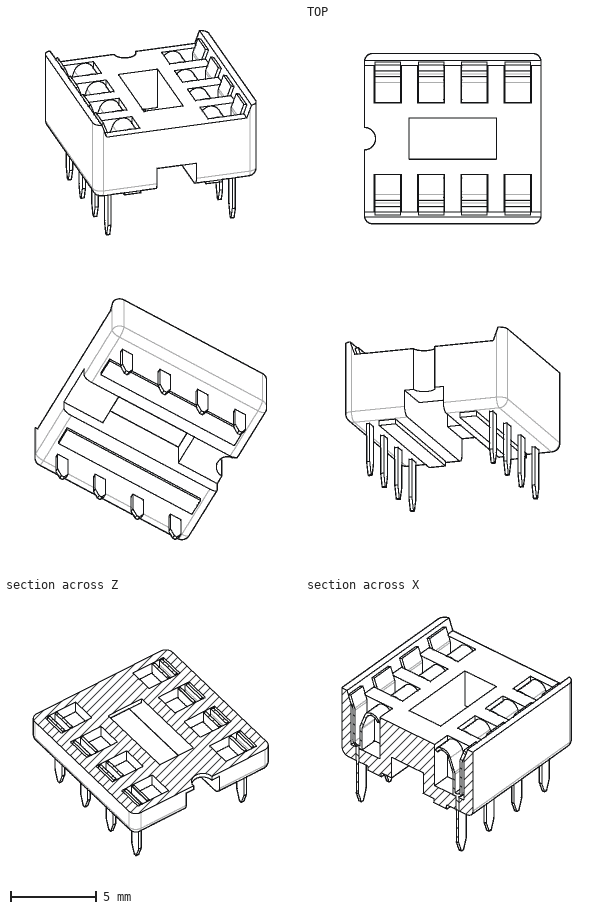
import cadquery as cq
import math

LENGTH = 10.36
WIDTH = 10.0
LIP_HEIGHT = 4.8
DECK_HEIGHT = 4.0
EDGE_RADIUS = 0.51
DECK_HALF_WIDTH = 4.29
LEAN = math.radians(20)

WINDOW_LENGTH = 5.1
WINDOW_WIDTH = 2.4
CHANNEL_HEIGHT = 1.49
NOTCH_RADIUS = 0.65

STANDOFF_LENGTH = 9.0
STANDOFF_WIDTH = 1.02
STANDOFF_HEIGHT = 0.29
STANDOFF_Y = 2.5

PITCH = 2.54
CONTACTS_PER_ROW = 4
POCKET_WIDTH = 1.6
POCKET_INNER_Y = 2.09
POCKET_FLOOR = 1.0

SHEET = 0.2
CONTACT_WIDTH = 1.5
TAB_TIP_Z = 4.57
BEND_RADIUS = 0.3
TAB_BEND_Z = 3.64
FOLD_RADIUS = 0.29
ARCH_OUTER_RADIUS = 0.62
ARCH_Y = 2.69
SPRING_Y = 3.53
LEG_Y = 3.81
LEG_WIDTH = 0.7
LEG_LENGTH = 3.06
TIP_LENGTH = 0.75
TIP_WIDTH = 0.19

BASE_Z = POCKET_FLOOR + SHEET / 2
SIN_LEAN = math.sin(LEAN)
COS_LEAN = math.cos(LEAN)
TAN_LEAN = math.tan(LEAN)
CONTACT_XS = [(i - (CONTACTS_PER_ROW - 1) / 2) * PITCH for i in range(CONTACTS_PER_ROW)]


def block(x_size, y_size, z_low, z_high, x=0.0, y=0.0):
    """Box centred on (x, y) between two heights."""
    return (
        cq.Workplane("XY", origin=(x, y, z_low))
        .box(x_size, y_size, z_high - z_low, centered=(True, True, False))
    )


def rounded_body():
    return (
        block(LENGTH, WIDTH, 0, LIP_HEIGHT)
        .edges("|Z or <Z")
        .fillet(EDGE_RADIUS)
    )


def deck_recess():
    """Flared space above the deck, between the two lips."""
    top_half_width = DECK_HALF_WIDTH + (LIP_HEIGHT - DECK_HEIGHT) * TAN_LEAN
    return (
        cq.Workplane("YZ")
        .polyline([
            (-DECK_HALF_WIDTH, DECK_HEIGHT),
            (DECK_HALF_WIDTH, DECK_HEIGHT),
            (top_half_width, LIP_HEIGHT),
            (-top_half_width, LIP_HEIGHT),
        ])
        .close()
        .extrude(LENGTH / 2, both=True)
    )


def contact_cavity(x, side):
    """Pocket open at the deck, with a slot in its floor for the leg."""
    pocket_length = DECK_HALF_WIDTH - POCKET_INNER_Y
    pocket_y = side * (DECK_HALF_WIDTH + POCKET_INNER_Y) / 2
    pocket = block(POCKET_WIDTH, pocket_length, POCKET_FLOOR, DECK_HEIGHT, x, pocket_y)
    leg_slot = block(LEG_WIDTH, SHEET, 0, POCKET_FLOOR, x, side * LEG_Y)
    return pocket.union(leg_slot)


def make_housing():
    housing = rounded_body().cut(deck_recess())
    housing = housing.cut(block(WINDOW_LENGTH, WINDOW_WIDTH, 0, DECK_HEIGHT))
    housing = housing.cut(block(LENGTH, WINDOW_WIDTH, 0, CHANNEL_HEIGHT))
    notch = cq.Workplane("XY").center(-LENGTH / 2, 0).circle(NOTCH_RADIUS).extrude(DECK_HEIGHT)
    housing = housing.cut(notch)
    for side in (-1, 1):
        standoff = block(STANDOFF_LENGTH, STANDOFF_WIDTH, -STANDOFF_HEIGHT, 0, y=side * STANDOFF_Y)
        housing = housing.union(standoff)
        for x in CONTACT_XS:
            housing = housing.cut(contact_cavity(x, side))
    return housing


def sheet_strip(path, start, normal):
    """Sheet of the contact's width that follows a path in the YZ plane."""
    section = cq.Plane(origin=(0, *start), xDir=(1, 0, 0), normal=(0, *normal))
    return cq.Workplane(section).rect(CONTACT_WIDTH, SHEET).sweep(path)


def tab_strip():
    """Tab lying on the lip, the upright wall under it and the base of the contact."""
    bend_top_z = TAB_BEND_Z + BEND_RADIUS * SIN_LEAN
    lip_offset = SHEET / 2 / COS_LEAN
    bend_top_y = DECK_HALF_WIDTH - (DECK_HEIGHT - bend_top_z) * TAN_LEAN - lip_offset
    wall_y = bend_top_y - BEND_RADIUS * (1 - COS_LEAN)
    tip_y = bend_top_y + (TAB_TIP_Z - bend_top_z) * TAN_LEAN
    base_end = (SPRING_Y - SHEET / 2, BASE_Z)
    path = (
        cq.Workplane("YZ")
        .moveTo(*base_end)
        .lineTo(wall_y - FOLD_RADIUS, BASE_Z)
        .tangentArcPoint((wall_y, BASE_Z + FOLD_RADIUS), relative=False)
        .lineTo(wall_y, TAB_BEND_Z)
        .tangentArcPoint((bend_top_y, bend_top_z), relative=False)
        .lineTo(tip_y, TAB_TIP_Z)
    )
    return sheet_strip(path, base_end, (1, 0))


def spring_strip():
    """Upright foot on the base, leaning inwards and ending in an arch level with the deck."""
    radius = ARCH_OUTER_RADIUS - SHEET / 2
    arch_z = DECK_HEIGHT - ARCH_OUTER_RADIUS
    arch_end_z = arch_z + radius * SIN_LEAN
    arch_start = (ARCH_Y + radius * COS_LEAN, arch_end_z)
    arch_end = (ARCH_Y - radius * COS_LEAN, arch_end_z)
    bend_top_y = SPRING_Y - BEND_RADIUS * (1 - COS_LEAN)
    bend_top_z = arch_end_z - (bend_top_y - arch_start[0]) / TAN_LEAN
    foot = (SPRING_Y, BASE_Z)
    path = (
        cq.Workplane("YZ")
        .moveTo(*foot)
        .lineTo(SPRING_Y, bend_top_z - BEND_RADIUS * SIN_LEAN)
        .tangentArcPoint((bend_top_y, bend_top_z), relative=False)
        .lineTo(*arch_start)
        .tangentArcPoint(arch_end, relative=False)
    )
    return sheet_strip(path, foot, (0, 1))


def leg():
    """Flat pin that tapers to a narrow tip."""
    half_leg = LEG_WIDTH / 2
    half_tip = TIP_WIDTH / 2
    taper_z = TIP_LENGTH - LEG_LENGTH
    return (
        cq.Workplane("XZ", origin=(0, LEG_Y, 0))
        .polyline([
            (-half_leg, BASE_Z),
            (-half_leg, taper_z),
            (-half_tip, -LEG_LENGTH),
            (half_tip, -LEG_LENGTH),
            (half_leg, taper_z),
            (half_leg, BASE_Z),
        ])
        .close()
        .extrude(SHEET / 2, both=True)
    )


def make_contact(x, side):
    """One contact in the row at -Y (side -1) or +Y (side 1)."""
    contact = tab_strip().union(spring_strip()).union(leg())
    if side < 0:
        contact = contact.mirror("XZ")
    return contact.translate((x, 0, 0))


housing = make_housing()
contacts = [make_contact(x, side) for side in (-1, 1) for x in CONTACT_XS]

result = cq.Compound.makeCompound([housing.val(), *[contact.solids().val() for contact in contacts]])